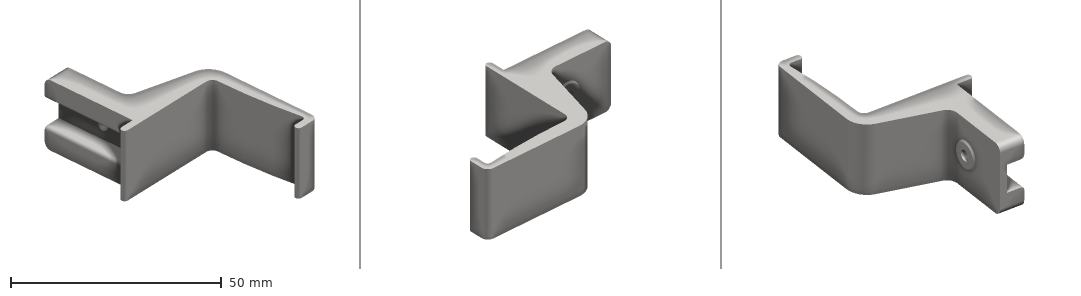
import cadquery as cq
import math

length = 60.0
depth = 35.0
width = 20.0

plate_back = 12.0
plate_front = 5.0
plate_corner_radius = 2.0
wall_x = 29.9
slope_angle = math.radians(15)
outer_bend_x = 30.7
outer_bend_radius = 6.0
inner_bend_radius = 2.0
plate_fillet_radius = 3.0

lip_thickness = 2.0
lip_radius = lip_thickness / 2
arm_root_thickness = 3.95
arm_end_thickness = 2.0
arm_corner_radius = 2.0
arm_lip_length = 6.8
arm_lip_fillet = 1.0

channel_width = 8.0
channel_floor = 10.0
channel_edge_radius = 1.0

boss_x = 14.0
boss_base_diameter = 8.0
boss_height = 0.5
hole_diameter = 3.0


def make_profile_body():
    """Extrude the bent outline, centred on Z = 0."""
    lip_x = wall_x - lip_thickness
    arm_lip_x = length - lip_thickness
    arm_lip_tip = depth - arm_lip_length
    arm_underside = depth - arm_root_thickness

    cos_slope = math.cos(slope_angle)
    sin_slope = math.sin(slope_angle)
    bend_center_y = depth - outer_bend_radius
    slope_top_x = outer_bend_x - outer_bend_radius * cos_slope
    slope_top_y = bend_center_y + outer_bend_radius * sin_slope
    slope_bottom_y = plate_back + plate_fillet_radius * (1 - sin_slope)
    slope_bottom_x = slope_top_x - (slope_top_y - slope_bottom_y) * math.tan(slope_angle)
    fillet_start_x = slope_bottom_x - plate_fillet_radius * cos_slope

    body = (
        cq.Workplane("XY", origin=(0, 0, -width / 2))
        .moveTo(0, plate_front)
        .lineTo(lip_x, plate_front)
        .lineTo(lip_x, lip_radius)
        .tangentArcPoint((wall_x, lip_radius), relative=False)
        .lineTo(wall_x, arm_underside - inner_bend_radius)
        .radiusArc((wall_x + inner_bend_radius, arm_underside), inner_bend_radius)
        .tangentArcPoint((arm_lip_x, depth - arm_end_thickness), relative=False)
        .lineTo(arm_lip_x, arm_lip_tip + lip_radius)
        .tangentArcPoint((length, arm_lip_tip + lip_radius), relative=False)
        .lineTo(length, depth - arm_corner_radius)
        .tangentArcPoint((length - arm_corner_radius, depth), relative=False)
        .lineTo(outer_bend_x, depth)
        .tangentArcPoint((slope_top_x, slope_top_y), relative=False)
        .lineTo(slope_bottom_x, slope_bottom_y)
        .tangentArcPoint((fillet_start_x, plate_back), relative=False)
        .lineTo(0, plate_back)
        .close()
        .extrude(width)
    )
    inner_corner = cq.selectors.NearestToPointSelector((arm_lip_x, depth - arm_end_thickness, 0))
    body = body.edges(inner_corner).fillet(arm_lip_fillet)
    return body.faces("<X").edges("|Y").fillet(plate_corner_radius)


def make_channel():
    """Cutter for the channel, flaring out at its mouth with rounded edges."""
    half_width = channel_width / 2
    half_mouth = half_width + channel_edge_radius
    edge_start = plate_front + channel_edge_radius
    return (
        cq.Workplane("YZ")
        .moveTo(plate_front, -half_mouth)
        .radiusArc((edge_start, -half_width), channel_edge_radius)
        .lineTo(channel_floor, -half_width)
        .lineTo(channel_floor, half_width)
        .lineTo(edge_start, half_width)
        .radiusArc((plate_front, half_mouth), channel_edge_radius)
        .close()
        .extrude(wall_x - lip_thickness)
    )


def make_boss():
    """Low boss on the back of the plate, its side sloping inward at 45 degrees."""
    return (
        cq.Workplane("XZ", origin=(boss_x, plate_back, 0))
        .circle(boss_base_diameter / 2)
        .extrude(-boss_height, taper=45)
    )


def make_hole():
    """Cutter for the hole through the plate and boss."""
    return (
        cq.Workplane("XZ", origin=(boss_x, plate_front, 0))
        .circle(hole_diameter / 2)
        .extrude(-(plate_back + boss_height - plate_front))
    )


result = make_profile_body().cut(make_channel()).union(make_boss()).cut(make_hole())